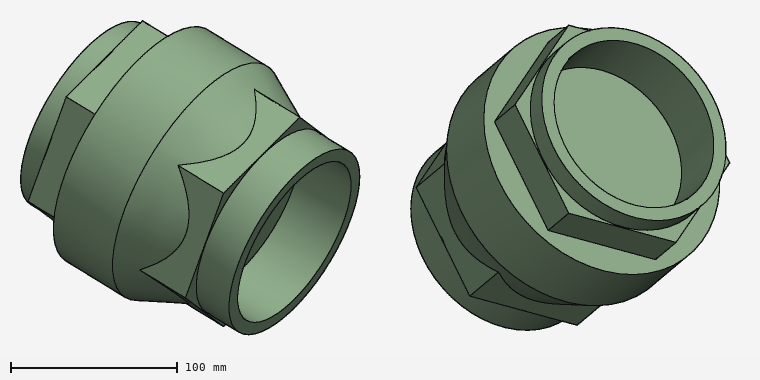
import cadquery as cq
import math

length = 159.0
body_diameter = 163.0
pipe_diameter = 127.3
bore_diameter = 110.4
socket_depth = 39.1
hex_across_flats = 128.5

left_hex_start = 14.0
body_start = 39.0
cone_start = 84.1
right_hex_end = 134.0

cone_end_diameter = pipe_diameter
cone_slope = 0.485
cone_length = (body_diameter - cone_end_diameter) / 2 / cone_slope

hex_across_corners = hex_across_flats / math.cos(math.pi / 6)
left_end = -length / 2


def section_plane(distance):
    """Plane across the axis, facing +X, at a distance from the left end."""
    return cq.Workplane("YZ", origin=(left_end + distance, 0, 0))


def cylinder(diameter, start, end):
    return section_plane(start).circle(diameter / 2).extrude(end - start)


def hexagon(start, end):
    """Wrench hexagon with corners on Y and flats facing Z."""
    return section_plane(start).polygon(6, hex_across_corners).extrude(end - start)


def cone():
    return (
        section_plane(cone_start)
        .circle(body_diameter / 2)
        .workplane(offset=cone_length)
        .circle(cone_end_diameter / 2)
        .loft(ruled=True)
    )


result = (
    cylinder(pipe_diameter, 0, length)
    .union(hexagon(left_hex_start, body_start))
    .union(hexagon(cone_start, right_hex_end))
    .union(cylinder(body_diameter, body_start, cone_start))
    .union(cone())
)

for socket_start in (0, length - socket_depth):
    result = result.cut(cylinder(bore_diameter, socket_start, socket_start + socket_depth))